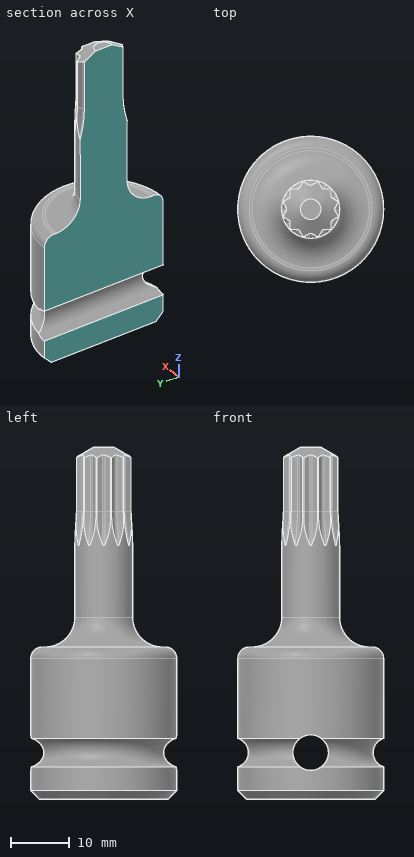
import cadquery as cq
import math

TOTAL_LENGTH = 60.0

BODY_DIAMETER = 24.9
BODY_HEIGHT = 26.0
BASE_CHAMFER = 1.5
SHOULDER_ROUND = 2.0

GROOVE_Z = 8.0
GROOVE_RADIUS = 2.5
GROOVE_DEPTH = 1.8
CROSS_HOLE_DIAMETER = 6.0

SHANK_DIAMETER = 9.9
NECK_FILLET = 5.05
NOSE_DIAMETER = 3.5
NOSE_SLOPE = 30.0

POINT_COUNT = 12
CORNER_RADIUS = 4.9
TRIMMED_DIAMETER = 9.6
VALLEY_ROUND = 0.4
SPLINE_BOTTOM_Z = 49.0
TRIM_TAPER_LENGTH = 2.75
RUNOUT_LENGTH = 5.75
CUT_MARGIN = 0.6

body_radius = BODY_DIAMETER / 2
shank_radius = SHANK_DIAMETER / 2
nose_radius = NOSE_DIAMETER / 2
trimmed_radius = TRIMMED_DIAMETER / 2
pitch_angle = 360 / POINT_COUNT

half_corner = math.radians(45)
valley_half_angle = math.radians(90 - pitch_angle)
sharp_valley_radius = CORNER_RADIUS * math.cos(half_corner) / math.cos(math.radians(pitch_angle))
round_centre_radius = sharp_valley_radius + VALLEY_ROUND / math.sin(valley_half_angle)
valley_radius = round_centre_radius - VALLEY_ROUND

runout_depth = shank_radius - valley_radius
runout_radius = (RUNOUT_LENGTH**2 + runout_depth**2) / (2 * runout_depth)


def turned_blank():
    """Body, neck, shank and conical nose as one revolved outline."""
    nose_drop = (trimmed_radius - nose_radius) * math.tan(math.radians(NOSE_SLOPE))
    diagonal = math.cos(math.radians(45))
    shoulder_centre = (body_radius - SHOULDER_ROUND, BODY_HEIGHT - SHOULDER_ROUND)
    shoulder_mid = [c + SHOULDER_ROUND * diagonal for c in shoulder_centre]
    neck_centre = (shank_radius + NECK_FILLET, BODY_HEIGHT + NECK_FILLET)
    neck_mid = [c - NECK_FILLET * diagonal for c in neck_centre]
    outline = (
        cq.Workplane("XZ")
        .lineTo(body_radius - BASE_CHAMFER, 0)
        .lineTo(body_radius, BASE_CHAMFER)
        .lineTo(body_radius, shoulder_centre[1])
        .threePointArc(shoulder_mid, (shoulder_centre[0], BODY_HEIGHT))
        .lineTo(neck_centre[0], BODY_HEIGHT)
        .threePointArc(neck_mid, (shank_radius, neck_centre[1]))
        .lineTo(shank_radius, SPLINE_BOTTOM_Z - TRIM_TAPER_LENGTH)
        .lineTo(trimmed_radius, SPLINE_BOTTOM_Z)
        .lineTo(trimmed_radius, TOTAL_LENGTH - nose_drop)
        .lineTo(nose_radius, TOTAL_LENGTH)
        .lineTo(0, TOTAL_LENGTH)
        .close()
    )
    return outline.revolve(360, (0, 0), (0, 1))


def retaining_groove():
    """Ring of round section that cuts the groove."""
    ring_radius = body_radius - GROOVE_DEPTH + GROOVE_RADIUS
    section = cq.Workplane("XZ").center(ring_radius, GROOVE_Z).circle(GROOVE_RADIUS)
    return section.revolve(360, (-ring_radius, 0), (-ring_radius, 1))


def cross_hole():
    """Cylinder along Y across the whole body."""
    section = cq.Workplane("XZ").center(0, GROOVE_Z).circle(CROSS_HOLE_DIAMETER / 2)
    return section.extrude(body_radius + GROOVE_RADIUS, both=True)


def valley_section():
    """Rounded V on the +X side at the bottom of the straight spline."""
    outer_x = shank_radius + CUT_MARGIN
    outer_y = (outer_x - sharp_valley_radius) * math.tan(valley_half_angle)
    tangent_x = round_centre_radius - VALLEY_ROUND * math.sin(valley_half_angle)
    tangent_y = VALLEY_ROUND * math.cos(valley_half_angle)
    return (
        cq.Workplane("XY", origin=(0, 0, SPLINE_BOTTOM_Z))
        .moveTo(outer_x, outer_y)
        .lineTo(tangent_x, tangent_y)
        .threePointArc((valley_radius, 0), (tangent_x, -tangent_y))
        .lineTo(outer_x, -outer_y)
        .close()
    )


def spline_valley():
    """Straight valley up to the nose, with the curved runout below it."""
    straight = valley_section().extrude(TOTAL_LENGTH - SPLINE_BOTTOM_Z)
    axis_x = valley_radius + runout_radius
    runout_angle = math.degrees(math.acos((runout_radius - runout_depth - CUT_MARGIN) / runout_radius))
    runout = valley_section().revolve(runout_angle, (axis_x, 0.6), (axis_x, 0))
    return straight.union(runout)


result = turned_blank().cut(retaining_groove()).cut(cross_hole())
valley = spline_valley()
for index in range(POINT_COUNT):
    result = result.cut(valley.rotate((0, 0, 0), (0, 0, 1), index * pitch_angle))